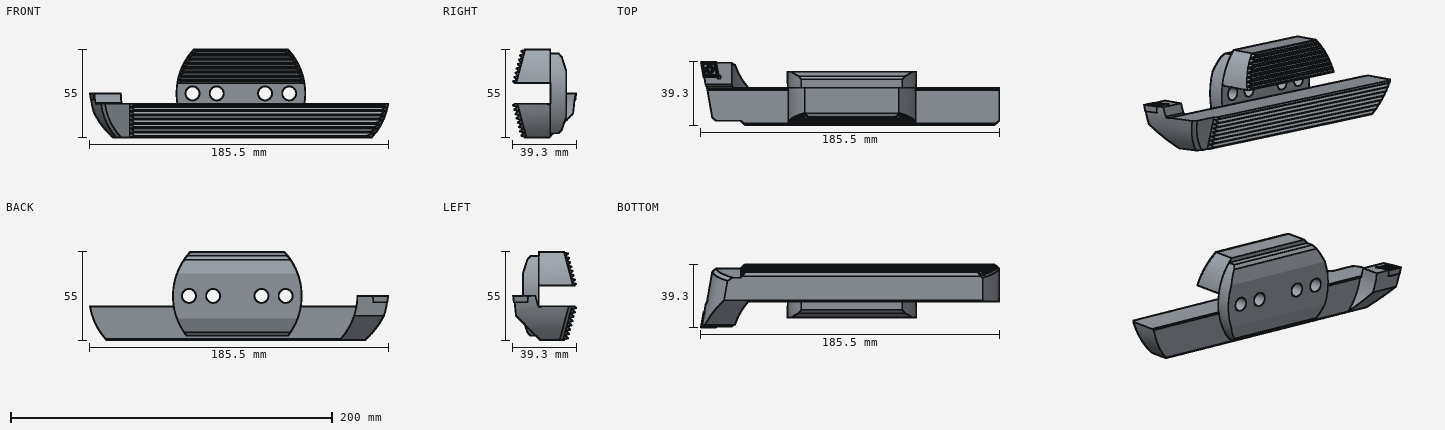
import cadquery as cq
import math


end_radius = 40.0
slot_gap = 12.8
slot_half = slot_gap / 2
half_height = 27.5
reach = 371.1

slant = math.radians(15)
tooth_count = 8
tooth_pitch = 2.8
tooth_depth = 2.0
tooth_flank = math.radians(30)
first_tip_z = 7.5
front_reach = 23.2
flank_run = tooth_depth * math.tan(tooth_flank)
tooth_flat = tooth_pitch / 2 - flank_run
blank_front = front_reach + (first_tip_z - slot_half) * math.tan(slant)

plate_thickness = 10.0
plate_half_height = 24.9
bevel_start_z = 14.0
bevel_knee_z = 22.6
bevel_knee_y = 7.2
bevel_top_y = 5.2
plate_hole_radius = 4.3
plate_hole_spacing = 15.0

jaw_corner_chamfer = 2.2

bar_right = 91.7
tip_x = bar_right - 185.5
tip_y = 16.1
right_end_centre = bar_right - math.sqrt(end_radius**2 - slot_half**2)
lead = math.radians(10)
end_clearance = 0.4
right_corner_chamfer = 3.0
left_corner_chamfer = 2.0
top_back_width = 1.7
top_back_drop = 0.4
back_ledge = 0.5
bottom_back_chamfer = 0.7
nose_front = 20.6
nose_right = -69.2

head_back = 15.5
head_lower_back = 14.3
head_front = 2.2
foot_rise = 0.5
head_right = -74.6

insert_edge = 9.6
insert_thickness = 4.0
insert_relief = 7
nose_radius = 0.4
land_width = 0.7
chip_depth = 0.4
chip_slope = 60
corner_relief_radius = 1.1
countersink_radius = 2.8
countersink_depth = 1.9
head_sink = 1.1
shank_radius = 1.5
shank_end = 8.4
socket_width = 2.5
socket_depth = 1.1

half_tip_angle = (math.pi / 2 - lead) / 2
corner_x = tip_x - nose_radius * (1 / math.tan(half_tip_angle) - 1)
lead_run_x = insert_edge * math.sin(lead)
lead_run_y = -insert_edge * math.cos(lead)
insert_corners = [
    (corner_x, tip_y),
    (corner_x + insert_edge, tip_y),
    (corner_x + insert_edge + lead_run_x, tip_y + lead_run_y),
    (corner_x + lead_run_x, tip_y + lead_run_y),
]
insert_centre = (corner_x + (insert_edge + lead_run_x) / 2, tip_y + lead_run_y / 2)


def y_cylinder(x, radius):
    """Long cylinder parallel to Y at centre height."""
    return cq.Workplane("XZ").center(x, 0).circle(radius).extrude(reach, both=True)


def serrated_outline():
    """Points (y, z) along the teeth of an upper body, from the slot upward."""
    along = (math.sin(slant), math.cos(slant))
    inward = (math.cos(slant), -math.sin(slant))

    def on_face(run, depth):
        y = -front_reach + run * along[0] + depth * inward[0]
        z = first_tip_z + run * along[1] + depth * inward[1]
        return y, z

    flank_start = first_tip_z - slot_half
    flank_angle = slant + tooth_flank
    points = [(-front_reach + flank_start / math.tan(flank_angle), slot_half)]
    for tooth in range(tooth_count):
        run = tooth * tooth_pitch
        points.append(on_face(run, 0))
        points.append(on_face(run + tooth_flat, 0))
        points.append(on_face(run + tooth_flat + flank_run, tooth_depth))
        if tooth < tooth_count - 1:
            points.append(on_face(run + tooth_pitch - flank_run, tooth_depth))
    points.append((points[-1][0], half_height))
    return points


def serrated_bar(length_start, length_end):
    """Upper bar with the serrated front and a plain back on Y = 0."""
    outline = [(0, half_height), (0, slot_half)] + serrated_outline()
    return (
        cq.Workplane("YZ", origin=(length_start, 0, 0))
        .polyline(outline)
        .close()
        .extrude(length_end - length_start)
    )


def front_y(z):
    """Y of the leaning plane through the tooth tips, above or below centre height."""
    return -blank_front + (abs(z) - slot_half) * math.tan(slant)


def make_jaw():
    """Upper jaw: serrated block with rounded ends and bevelled front corners."""
    outline = [
        (0, half_height),
        (0, slot_half),
        (front_y(slot_half), slot_half),
        (front_y(half_height), half_height),
    ]
    blank = cq.Workplane("YZ").polyline(outline).close().extrude(end_radius, both=True)
    jaw = blank.intersect(y_cylinder(0, end_radius))
    middle_z = (slot_half + half_height) / 2
    for side in (-1, 1):
        corner = cq.NearestToPointSelector((side * end_radius, front_y(middle_z), middle_z))
        jaw = jaw.edges(corner).chamfer(jaw_corner_chamfer)
    return jaw.intersect(serrated_bar(-end_radius, end_radius))


def make_plate():
    """Round-ended back plate with bevelled top and bottom and four through holes."""
    upper = [
        (plate_thickness, bevel_start_z),
        (bevel_knee_y, bevel_knee_z),
        (bevel_top_y, plate_half_height),
        (0, plate_half_height),
    ]
    lower = [(y, -z) for y, z in reversed(upper)]
    blank = cq.Workplane("YZ").polyline(upper + lower).close().extrude(end_radius, both=True)
    hole_places = [(side * step * plate_hole_spacing, 0) for side in (-1, 1) for step in (1, 2)]
    holes = cq.Workplane("XZ").pushPoints(hole_places).circle(plate_hole_radius).extrude(-plate_thickness)
    return blank.intersect(y_cylinder(0, end_radius)).cut(holes)


def make_bar_blank():
    """Tool bar before the ends are rounded and the teeth are cut."""
    outline = [
        (-top_back_width, -slot_half),
        (-back_ledge, -slot_half - top_back_drop),
        (0, -slot_half - top_back_drop),
        (0, bottom_back_chamfer - half_height),
        (-bottom_back_chamfer, -half_height),
        (front_y(-half_height), -half_height),
        (front_y(-slot_half), -slot_half),
    ]
    return (
        cq.Workplane("YZ", origin=(tip_x, 0, 0))
        .polyline(outline)
        .close()
        .extrude(bar_right - tip_x)
    )


def make_head_block():
    """Raised head behind the bar, with a hollow round on its right side."""
    ledge_z = -slot_half - top_back_drop
    foot_z = foot_rise - slot_half
    foot_y = head_front + foot_z * math.tan(slant)
    underside_z = bottom_back_chamfer - half_height
    outline = [
        (head_front, 0),
        (head_back, 0),
        (head_lower_back, head_lower_back + underside_z),
        (0, underside_z),
        (0, ledge_z),
        (-back_ledge, ledge_z),
        (foot_y, foot_z),
    ]
    block = (
        cq.Workplane("YZ", origin=(tip_x, 0, 0))
        .polyline(outline)
        .close()
        .extrude(head_right + end_radius - tip_x)
    )
    return block.cut(y_cylinder(head_right + end_radius, end_radius))


def nose_cutter():
    """Removes the teeth from the front of the head, following the lean of the face."""
    removed = 2 * (blank_front - nose_front)
    corners = [
        (tip_x, -nose_front),
        (nose_right, -nose_front),
        (nose_right + removed, -nose_front - removed),
        (tip_x, -nose_front - removed),
    ]
    wire = cq.Wire.makePolygon([cq.Vector(x, y, -slot_half) for x, y in corners], close=True)
    lean = cq.Vector(0, half_height * math.tan(slant), -half_height)
    return cq.Workplane(cq.Solid.extrudeLinear(wire, [], lean))


def left_end_envelope():
    """Space to the right of the round left end, whose axis leans by the lead angle."""
    axis_x = tip_x + end_clearance + end_radius / math.cos(lead)
    leaning_plane = cq.Plane(
        origin=(axis_x, tip_y, 0),
        xDir=(math.cos(lead), math.sin(lead), 0),
        normal=(math.sin(lead), -math.cos(lead), 0),
    )
    round_end = cq.Workplane(leaning_plane).circle(end_radius).extrude(reach, both=True)
    rest = (
        cq.Workplane(leaning_plane)
        .center(reach / 2, 0)
        .rect(reach, 2 * end_radius)
        .extrude(reach, both=True)
    )
    return round_end.union(rest)


def right_end_envelope():
    """Space to the left of the round right end."""
    rest = (
        cq.Workplane("XZ")
        .center(right_end_centre - reach / 2, 0)
        .rect(reach, 2 * end_radius)
        .extrude(reach, both=True)
    )
    return y_cylinder(right_end_centre, end_radius).union(rest)


def make_insert_pocket():
    """Seat of the insert, with a round relief at its inner corner."""
    corner_relief = (
        cq.Workplane("XY")
        .center(*insert_corners[2])
        .circle(corner_relief_radius)
        .extrude(-insert_thickness)
    )
    return make_insert_blank().union(corner_relief)


def make_tool_bar():
    """Serrated tool bar in one piece with the raised head."""
    middle_z = -(slot_half + half_height) / 2
    bar = make_bar_blank().cut(nose_cutter())
    bar = bar.intersect(left_end_envelope()).intersect(right_end_envelope())

    teeth_y = front_y(middle_z)
    nose_y = teeth_y + blank_front - nose_front
    right_corner = cq.NearestToPointSelector((bar_right, teeth_y, middle_z))
    bar = bar.edges(right_corner).chamfer(right_corner_chamfer)
    left_corner = cq.NearestToPointSelector((tip_x, nose_y, middle_z))
    bar = bar.edges(left_corner).chamfer(left_corner_chamfer)

    teeth = serrated_bar(tip_x, bar_right).mirror("XY")
    head = make_head_block().intersect(left_end_envelope())
    return bar.intersect(teeth).union(head).cut(make_insert_pocket()).cut(screw_hole())


def make_insert_blank():
    """Rhombic insert with relieved sides and rounded corners, without its hole."""
    return (
        cq.Workplane("XY")
        .polyline(insert_corners)
        .close()
        .extrude(-insert_thickness, taper=insert_relief)
        .edges("not #Z")
        .fillet(nose_radius)
    )


def screw_hole():
    """Countersunk hole through the insert, continued into the head down to the screw end."""
    half_outline = [
        (0, 0),
        (countersink_radius, 0),
        (shank_radius, -countersink_depth),
        (shank_radius, -shank_end),
        (0, -shank_end),
    ]
    hole = cq.Workplane("XZ").polyline(half_outline).close().revolve(360, (0, 0, 0), (0, 1, 0))
    return hole.translate((*insert_centre, 0))


def make_insert():
    """Insert with a sunk chip breaker inside its rim and the countersunk hole."""
    chip_breaker = (
        cq.Workplane("XY")
        .polyline(insert_corners)
        .close()
        .offset2D(-land_width)
        .extrude(-chip_depth, taper=chip_slope)
    )
    return make_insert_blank().cut(chip_breaker).cut(screw_hole())


def make_screw():
    """Screw that fills the hole up to its sunk head, with a hexagon socket."""
    above_head = cq.Workplane("XY").center(*insert_centre).circle(countersink_radius).extrude(-head_sink)
    socket = (
        cq.Workplane("XY")
        .center(*insert_centre)
        .polygon(6, socket_width)
        .extrude(-head_sink - socket_depth)
    )
    return screw_hole().cut(above_head).cut(socket)


jaw = make_jaw()
plate = make_plate()
tool_bar = make_tool_bar()
insert = make_insert()
screw = make_screw()

result = cq.Compound.makeCompound(
    [jaw.val(), plate.val(), tool_bar.val(), insert.val(), screw.val()]
)